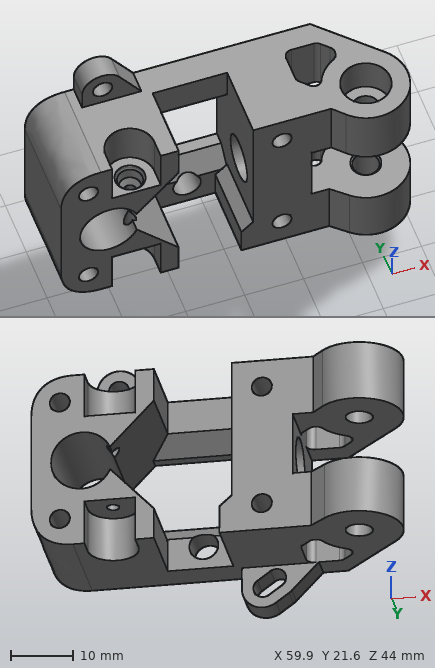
import cadquery as cq
import math


body_height = 30.0
body_depth = 17.5
corner_reach = 6.75
corner_fullness = 0.63
part_length = 59.92
part_height = 43.98

lug_radius = 7.12
lug_x = part_length - lug_radius
lug_y = 3.05
upper_lug_start_x = 45.85
lower_lug_start_x = 45.5
slot_x = 42.5
slot_bottom = 9.55
slot_top = 20.05
pin_dia = 4.4
pin_lead_in_dia = 5.0
head_dia = 8.25
pin_head_depth = 6.0

window_back_y = 13.5
window_slope_x = 48.2
window_front_y = 7.35
window_fillet = 1.3
window_tip_fillet = 1.6

axis_z = 14.75
bore_x = 8.22
bore_dia = 10.0
clamp_x = 12.78
lip_gap = 3.9
mouth_x = 19.95
mouth_z = 14.82
mouth_height = 19.15

bay_end_x = 32.6
bay_depth = 12.5
bay_corner_x = 30.6
bay_corner_top = 6.5
bay_corner_bottom = 4.7
rear_sill_front = 5.6
rear_sill = 8.5
rear_lintel = 21.3
rear_lintel_front = 24.4

clamp_y = 3.05
clamp_pocket_depth = 7.45
pilot_dia = 2.0
insert_rim_dia = 5.0
insert_dia = 4.7
insert_step_dia = 4.2
insert_tip_dia = 3.6
insert_rim_depth = 0.15
insert_step_depth = 0.6
insert_tip_depth = 2.2
insert_cone_depth = 3.2

screw_dia = 3.25
screw_inset = 4.65
screw_right_x = 37.5
rod_dia = 8.0
rod_y = 6.9
access_dia = 4.7
access_x = 25.8
access_z = 4.0

ear_thickness = 4.0
ear_radius = 3.5
ear_overlap = 1.0
upper_ear_x = 11.82
upper_ear_z = 33.2
upper_ear_root_x = 18.4
lower_ear_x = 35.3
lower_ear_z = upper_ear_z + 2 * ear_radius - part_height
lower_ear_slot_dx = 2.1
lower_ear_slot_dz = 1.53
lower_ear_root_x = 44.35


def cylinder_y(x, z, dia):
    """Cylinder along Y, from the front face to the back face."""
    return cq.Workplane("XZ", origin=(x, 0, z)).circle(dia / 2).extrude(-body_depth)


def cylinder_z(x, y, dia, z_start, length):
    """Cylinder along +Z."""
    return cq.Workplane("XY", origin=(x, y, z_start)).circle(dia / 2).extrude(length)


def block(x_range, y_range, z_range):
    """Box given by its limits along each axis."""
    sizes = [high - low for low, high in (x_range, y_range, z_range)]
    corner = (x_range[0], y_range[0], z_range[0])
    return cq.Workplane("XY", origin=corner).box(*sizes, centered=False)


def tangent_point(start, centre, radius, side):
    """Point where the line from start touches a circle; side +1 is left of the line to its centre."""
    dx = centre[0] - start[0]
    dy = centre[1] - start[1]
    distance = math.hypot(dx, dy)
    reach = math.sqrt(distance ** 2 - radius ** 2)
    angle = math.atan2(dy, dx) + side * math.asin(radius / distance)
    return (start[0] + reach * math.cos(angle), start[1] + reach * math.sin(angle))


def body_layer(front_start_x, z_low, z_high):
    """Body and rounded lug between two heights."""
    centre = (lug_x, lug_y)
    front_start = (front_start_x, 0.0)
    front_tangent = tangent_point(front_start, centre, lug_radius, -1)
    diagonal = lug_radius * math.sqrt(0.5)
    back_tangent = (lug_x + diagonal, lug_y + diagonal)
    back_start_x = back_tangent[0] - (body_depth - back_tangent[1])
    return (
        cq.Workplane("XY", origin=(0, 0, z_low))
        .lineTo(*front_start)
        .lineTo(*front_tangent)
        .threePointArc((lug_x + diagonal, lug_y - diagonal), back_tangent)
        .lineTo(back_start_x, body_depth)
        .lineTo(0, body_depth)
        .close()
        .extrude(z_high - z_low)
    )


def corner_cut(z_edge, inward):
    """Waste outside a smooth end corner that is slightly fuller than a circular arc."""
    handle = corner_reach * (1 - corner_fullness)
    return (
        cq.Workplane("XZ")
        .moveTo(0, z_edge + inward * corner_reach)
        .bezier([
            (0, z_edge + inward * corner_reach),
            (0, z_edge + inward * handle),
            (handle, z_edge),
            (corner_reach, z_edge),
        ])
        .lineTo(0, z_edge)
        .close()
        .extrude(-body_depth)
    )


def make_body():
    """Block with slotted hinge lugs and smooth end corners."""
    lower = body_layer(lower_lug_start_x, 0, axis_z)
    upper = body_layer(upper_lug_start_x, axis_z, body_height)
    slot = block((slot_x, part_length), (lug_y - lug_radius, body_depth), (slot_bottom, slot_top))
    body = lower.union(upper).cut(slot)
    return body.cut(corner_cut(0, 1)).cut(corner_cut(body_height, -1))


def ear_plane():
    """Sketch plane on the front of the ears."""
    return cq.Workplane("XZ", origin=(0, body_depth - ear_thickness, 0))


def upper_ear():
    """Ear with a round screw hole."""
    left = upper_ear_x - ear_radius
    root = (upper_ear_root_x, body_height)
    touch = tangent_point(root, (upper_ear_x, upper_ear_z), ear_radius, -1)
    plate = (
        ear_plane()
        .moveTo(left, body_height - ear_overlap)
        .lineTo(left, upper_ear_z)
        .threePointArc((upper_ear_x, upper_ear_z + ear_radius), touch)
        .lineTo(*root)
        .lineTo(upper_ear_root_x, body_height - ear_overlap)
        .close()
        .extrude(-ear_thickness)
    )
    return plate.cut(cylinder_y(upper_ear_x, upper_ear_z, screw_dia))


def lower_ear():
    """Ear with a slanted screw slot, one side running parallel to the slot."""
    slot_length = math.hypot(lower_ear_slot_dx, lower_ear_slot_dz)
    slot_angle = math.atan2(lower_ear_slot_dz, lower_ear_slot_dx)
    normal_x = ear_radius * math.sin(slot_angle)
    normal_z = -ear_radius * math.cos(slot_angle)
    left = lower_ear_x - ear_radius
    far_end = (lower_ear_x + lower_ear_slot_dx, lower_ear_z + lower_ear_slot_dz)
    root = (lower_ear_root_x, 0.0)
    touch = tangent_point(root, far_end, ear_radius, 1)
    touch_angle = math.atan2(touch[1] - far_end[1], touch[0] - far_end[0])
    middle_angle = (touch_angle + slot_angle - math.pi / 2) / 2
    far_middle = (
        far_end[0] + ear_radius * math.cos(middle_angle),
        far_end[1] + ear_radius * math.sin(middle_angle),
    )
    plate = (
        ear_plane()
        .moveTo(left, ear_overlap)
        .lineTo(left, lower_ear_z)
        .threePointArc(
            (lower_ear_x, lower_ear_z - ear_radius),
            (lower_ear_x + normal_x, lower_ear_z + normal_z),
        )
        .lineTo(far_end[0] + normal_x, far_end[1] + normal_z)
        .threePointArc(far_middle, touch)
        .lineTo(*root)
        .lineTo(lower_ear_root_x, ear_overlap)
        .close()
        .extrude(-ear_thickness)
    )
    slot = (
        ear_plane()
        .center((lower_ear_x + far_end[0]) / 2, (lower_ear_z + far_end[1]) / 2)
        .slot2D(slot_length + screw_dia, screw_dia, math.degrees(slot_angle))
        .extrude(-ear_thickness)
    )
    return plate.cut(slot)


def mouth_wedge():
    """Full-depth V from inside the bore to the bay."""
    slope = (mouth_height - lip_gap) / 2 / (mouth_x - clamp_x)
    apex_x = clamp_x - lip_gap / 2 / slope
    half_height = mouth_height / 2
    return (
        cq.Workplane("XZ")
        .moveTo(apex_x, mouth_z)
        .lineTo(mouth_x, mouth_z + half_height)
        .lineTo(mouth_x, mouth_z - half_height)
        .close()
        .extrude(-body_depth)
    )


def front_bay():
    """Bay open at the front, top and bottom, with a bevelled step low on its +X wall."""
    return (
        cq.Workplane("XZ")
        .moveTo(mouth_x, 0)
        .lineTo(bay_corner_x, 0)
        .lineTo(bay_corner_x, bay_corner_bottom)
        .lineTo(bay_end_x, bay_corner_top)
        .lineTo(bay_end_x, body_height)
        .lineTo(mouth_x, body_height)
        .close()
        .extrude(-bay_depth)
    )


def rear_opening(x_start):
    """Opening through the rear wall, narrowed by a bevelled sill and lintel."""
    sill_y = bay_depth + rear_sill - rear_sill_front
    lintel_y = bay_depth + rear_lintel_front - rear_lintel
    return (
        cq.Workplane("YZ", origin=(x_start, 0, 0))
        .moveTo(bay_depth, rear_sill_front)
        .lineTo(sill_y, rear_sill)
        .lineTo(body_depth, rear_sill)
        .lineTo(body_depth, rear_lintel)
        .lineTo(lintel_y, rear_lintel)
        .lineTo(bay_depth, rear_lintel_front)
        .close()
        .extrude(bay_end_x - x_start)
    )


def bay_cut():
    """Bay with its rear opening and the V mouth towards the clamp bore."""
    wedge = mouth_wedge()
    front_zone = block((0, mouth_x), (0, bay_depth), (0, body_height))
    front_wedge = wedge.intersect(front_zone)
    rear_wedge = wedge.intersect(rear_opening(0))
    return front_bay().union(rear_opening(mouth_x)).union(front_wedge).union(rear_wedge)


def clamp_pocket(z_low):
    """Round-backed pocket for a clamp screw, open to the front face."""
    radius = head_dia / 2
    round_back = cylinder_z(clamp_x, clamp_y, head_dia, z_low, clamp_pocket_depth)
    front = block(
        (clamp_x - radius, clamp_x + radius), (0, clamp_y), (z_low, z_low + clamp_pocket_depth)
    )
    return round_back.union(front)


def insert_hole():
    """Tapered seat for a threaded insert, going down from the upper pocket floor."""
    floor = body_height - clamp_pocket_depth
    profile = [
        (0, floor),
        (insert_rim_dia / 2, floor),
        (insert_dia / 2, floor - insert_rim_depth),
        (insert_step_dia / 2, floor - insert_step_depth),
        (insert_tip_dia / 2, floor - insert_tip_depth),
        (pilot_dia / 2, floor - insert_cone_depth),
        (0, floor - insert_cone_depth),
    ]
    return (
        cq.Workplane("XZ", origin=(clamp_x, clamp_y, 0))
        .polyline(profile)
        .close()
        .revolve(360, (0, 0, 0), (0, 1, 0))
    )


def clamp_cut():
    """Clamp bore with the screw pockets, pilot hole and insert seat."""
    upper_pocket = clamp_pocket(body_height - clamp_pocket_depth)
    pilot = cylinder_z(clamp_x, clamp_y, pilot_dia, 0, body_height)
    bore = cylinder_y(bore_x, axis_z, bore_dia)
    return bore.union(upper_pocket).union(clamp_pocket(0)).union(pilot).union(insert_hole())


def pin_cut():
    """Lug pin hole with a deep counterbore above and a lead-in on the lower lug."""
    hole = cylinder_z(lug_x, lug_y, pin_dia, 0, body_height)
    head = cylinder_z(lug_x, lug_y, head_dia, body_height - pin_head_depth, pin_head_depth)
    lead_in_depth = (pin_lead_in_dia - pin_dia) / 2
    lead_in = (
        cq.Workplane("XY", origin=(lug_x, lug_y, slot_bottom))
        .circle(pin_lead_in_dia / 2)
        .workplane(offset=-lead_in_depth)
        .circle(pin_dia / 2)
        .loft()
    )
    return hole.union(head).union(lead_in)


def window_cut():
    """Rounded window whose lug side runs concentric with the lug."""
    reach = lug_radius
    outline = [
        (slot_x, window_front_y),
        (slot_x, window_back_y),
        (window_slope_x, window_back_y),
        (window_slope_x + reach, window_back_y - reach),
        (slot_x + reach, window_front_y - reach),
    ]
    prism = cq.Workplane("XY").polyline(outline).close().extrude(body_height)
    prism = prism.cut(cylinder_z(lug_x, lug_y, 2 * lug_radius, 0, body_height))
    tip = "|Z and >X"
    other_corners = f"|Z and (not ({tip}))"
    prism = prism.edges(other_corners).fillet(window_fillet)
    return prism.edges(tip).fillet(window_tip_fillet)


def screw_cuts():
    """Four screw holes and the access hole, all through along Y."""
    cuts = cylinder_y(access_x, access_z, access_dia)
    for x in (screw_inset, screw_right_x):
        for z in (screw_inset, body_height - screw_inset):
            cuts = cuts.union(cylinder_y(x, z, screw_dia))
    return cuts


def rod_cut():
    """Rod hole from the bay into the hinge slot."""
    return (
        cq.Workplane("YZ", origin=(bay_end_x, rod_y, axis_z))
        .circle(rod_dia / 2)
        .extrude(slot_x - bay_end_x)
    )


result = make_body().union(upper_ear()).union(lower_ear())
for cutter in (bay_cut(), clamp_cut(), pin_cut(), window_cut(), screw_cuts(), rod_cut()):
    result = result.cut(cutter)